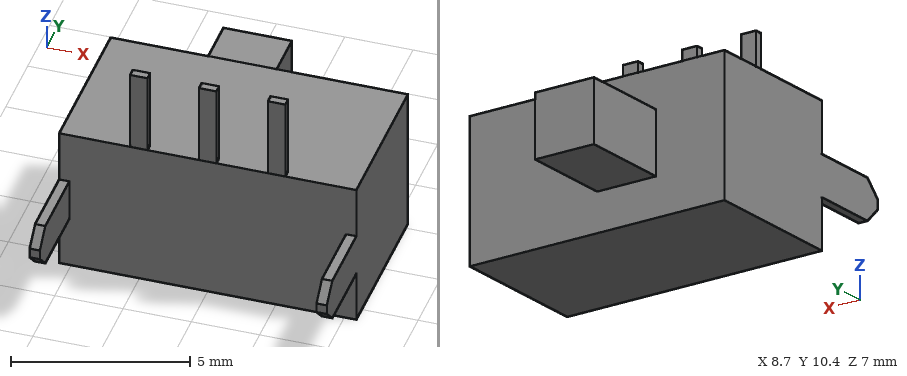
import cadquery as cq

OVERALL_LENGTH = 10.4

HOUSING_WIDTH = 8.7
HOUSING_DEPTH = 4.71
HOUSING_HEIGHT = 4.5
MID_HEIGHT = HOUSING_HEIGHT / 2

TAB_LENGTH = 2.69
TAB_THICKNESS = 0.3
TAB_HEIGHT = 1.3
TAB_TAPER = 0.5

PIN_COUNT = 3
PIN_PITCH = 2.02
PIN_WIDTH = 0.51
PIN_THICKNESS = 0.25
PIN_LENGTH = 2.5

SLIDER_WIDTH = 2.01
SLIDER_LENGTH = OVERALL_LENGTH - HOUSING_DEPTH - TAB_LENGTH
SLIDER_X = -PIN_PITCH / 2


def make_tab(x_start):
    """Blade pointing to -Y, with both corners of its tip cut at 45 degrees."""
    half_height = TAB_HEIGHT / 2
    half_tip = half_height - TAB_TAPER
    shoulder = TAB_TAPER - TAB_LENGTH
    outline = [
        (0, MID_HEIGHT - half_height),
        (shoulder, MID_HEIGHT - half_height),
        (-TAB_LENGTH, MID_HEIGHT - half_tip),
        (-TAB_LENGTH, MID_HEIGHT + half_tip),
        (shoulder, MID_HEIGHT + half_height),
        (0, MID_HEIGHT + half_height),
    ]
    return cq.Workplane("YZ", origin=(x_start, 0, 0)).polyline(outline).close().extrude(TAB_THICKNESS)


def make_housing():
    """Block with the two mounting tabs as part of it."""
    block = cq.Workplane("XY").box(HOUSING_WIDTH, HOUSING_DEPTH, HOUSING_HEIGHT, centered=(True, False, False))
    for x_start in (-HOUSING_WIDTH / 2, HOUSING_WIDTH / 2 - TAB_THICKNESS):
        block = block.union(make_tab(x_start))
    return block


def make_slider():
    """Square bar that meets the back face, at mid height."""
    return (
        cq.Workplane("XY", origin=(SLIDER_X, HOUSING_DEPTH, MID_HEIGHT))
        .box(SLIDER_WIDTH, SLIDER_LENGTH, SLIDER_WIDTH, centered=(True, False, True))
    )


def make_pin(x_center):
    """Flat pin standing on the top face, flush with the front face."""
    return (
        cq.Workplane("XY", origin=(x_center, 0, HOUSING_HEIGHT))
        .box(PIN_WIDTH, PIN_THICKNESS, PIN_LENGTH, centered=(True, False, False))
    )


housing = make_housing()
slider = make_slider()
pins = []
for index in range(PIN_COUNT):
    x_center = (index - (PIN_COUNT - 1) / 2) * PIN_PITCH
    pins.append(make_pin(x_center).val())

result = cq.Compound.makeCompound([housing.val(), slider.val(), *pins])